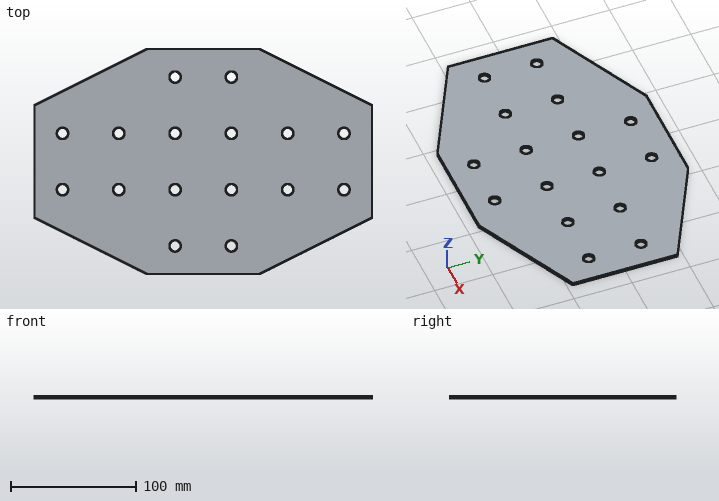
import cadquery as cq

length = 270.0
thickness = 2.0
hole_diameter = 9.0

columns = 6
rows = 4
pitch = length / columns
width = rows * pitch

half_length = length / 2
half_width = width / 2
end_half_width = half_width - pitch
side_half_length = half_length - 2 * pitch

outline = [
    (half_length, -end_half_width),
    (half_length, end_half_width),
    (side_half_length, half_width),
    (-side_half_length, half_width),
    (-half_length, end_half_width),
    (-half_length, -end_half_width),
    (-side_half_length, -half_width),
    (side_half_length, -half_width),
]


def make_plate():
    """Flat eight-sided plate."""
    return cq.Workplane("XY").polyline(outline).close().extrude(thickness)


def drill_grid(plate, column_count, row_spacing):
    """Drill two rows of through holes, centred on the plate."""
    top = plate.faces(">Z").workplane(origin=(0, 0, thickness))
    return top.rarray(pitch, row_spacing, column_count, 2).hole(hole_diameter)


result = make_plate()

result = drill_grid(result, columns, pitch)

result = drill_grid(result, 2, (rows - 1) * pitch)